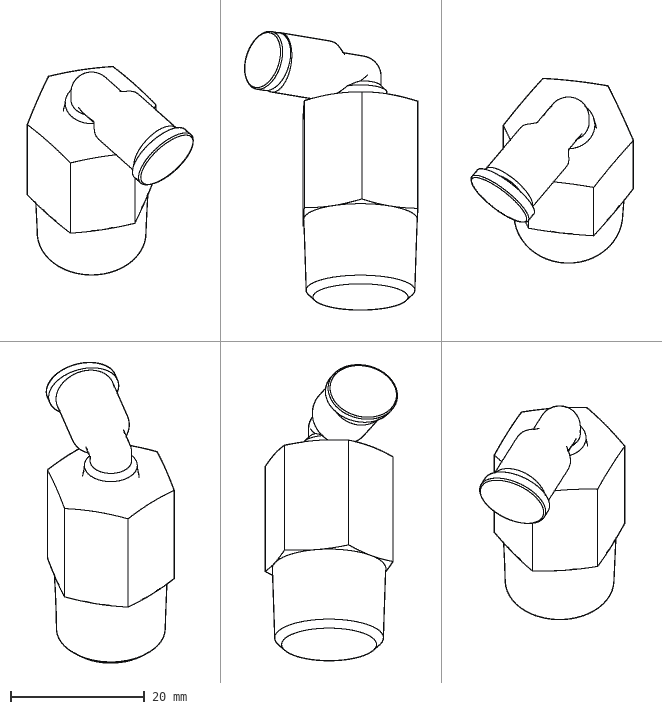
import cadquery as cq
import math

thread_end_radius = 7.1
thread_small_radius = 8.15
thread_chamfer_height = 1.05

hex_sides = 6
hex_width = 17.0
hex_face_radius = hex_width / 2
hex_bottom = 12.05
hex_top = 29.45
hex_chamfer_angle = 15

neck_fillet_radius = 0.25
neck_base_radius = 4.23
neck_shoulder_radius = 4.05
neck_upper_radius = 3.95
neck_shoulder_height = 30.85
neck_upper_height = 31.85
neck_cone_top = 32.75

elbow_radius = 3.1
body_radius = 4.5
total_height = 38.8
axis_height = total_height - body_radius
body_cone_start = 4.0
body_cone_end = 5.8
cone_start_fillet = 0.9
cone_end_fillet = 1.0
body_end = 14.7
stem_radius = 2.75

collar_start = 15.5
collar_end = 17.1
collar_half_width = 5.45
collar_half_height = 4.3
collar_chamfer = 0.25


def make_thread():
    profile = (
        cq.Workplane("XZ")
        .lineTo(thread_end_radius, 0)
        .lineTo(thread_small_radius, thread_chamfer_height)
        .lineTo(hex_face_radius, hex_bottom)
        .lineTo(0, hex_bottom)
        .close()
    )
    return profile.revolve(360, (0, 0), (0, 1))


def make_hexagon():
    corner_radius = hex_face_radius / math.cos(math.pi / hex_sides)
    hexagon = (
        cq.Workplane("XY", origin=(0, 0, hex_bottom))
        .polygon(hex_sides, 2 * corner_radius)
        .extrude(hex_top - hex_bottom)
    )
    bevel_height = (corner_radius - hex_face_radius) * math.tan(math.radians(hex_chamfer_angle))
    envelope = (
        cq.Workplane("XZ")
        .moveTo(0, hex_bottom)
        .lineTo(hex_face_radius, hex_bottom)
        .lineTo(corner_radius, hex_bottom + bevel_height)
        .lineTo(corner_radius, hex_top - bevel_height)
        .lineTo(hex_face_radius, hex_top)
        .lineTo(0, hex_top)
        .close()
        .revolve(360, (0, 0), (0, 1))
    )
    return hexagon.intersect(envelope)


def make_neck():
    flare_radius = neck_base_radius + neck_fillet_radius
    flare_top = hex_top + neck_fillet_radius
    arc_offset = neck_fillet_radius * math.cos(math.pi / 4)
    profile = (
        cq.Workplane("XZ")
        .moveTo(0, hex_top)
        .lineTo(flare_radius, hex_top)
        .threePointArc(
            (flare_radius - arc_offset, flare_top - arc_offset),
            (neck_base_radius, flare_top),
        )
        .lineTo(neck_shoulder_radius, neck_shoulder_height)
        .lineTo(neck_upper_radius, neck_upper_height)
        .lineTo(elbow_radius, neck_cone_top)
        .lineTo(elbow_radius, axis_height)
        .lineTo(0, axis_height)
        .close()
    )
    return profile.revolve(360, (0, 0), (0, 1))


def make_body():
    diagonal = elbow_radius * math.cos(math.pi / 4)
    profile = (
        cq.Workplane("XZ", origin=(0, 0, axis_height))
        .moveTo(-elbow_radius, 0)
        .threePointArc((-diagonal, diagonal), (0, elbow_radius))
        .lineTo(body_cone_start, elbow_radius)
        .lineTo(body_cone_end, body_radius)
        .lineTo(body_end, body_radius)
        .lineTo(body_end, stem_radius)
        .lineTo(collar_start, stem_radius)
        .lineTo(collar_start, 0)
        .close()
    )
    body = profile.revolve(360, (0, 0), (1, 0))
    for edge_x, radius in ((body_cone_start, cone_start_fillet), (body_cone_end, cone_end_fillet)):
        edge_center = (edge_x, 0, axis_height)
        body = body.edges(cq.NearestToPointSelector(edge_center)).fillet(radius)
    return body


def make_collar():
    return (
        cq.Workplane("YZ", origin=(collar_start, 0, axis_height))
        .ellipse(collar_half_width, collar_half_height)
        .extrude(collar_end - collar_start)
        .faces(">X")
        .chamfer(collar_chamfer)
    )


result = (
    make_thread()
    .union(make_hexagon())
    .union(make_neck())
    .union(make_body())
    .union(make_collar())
)